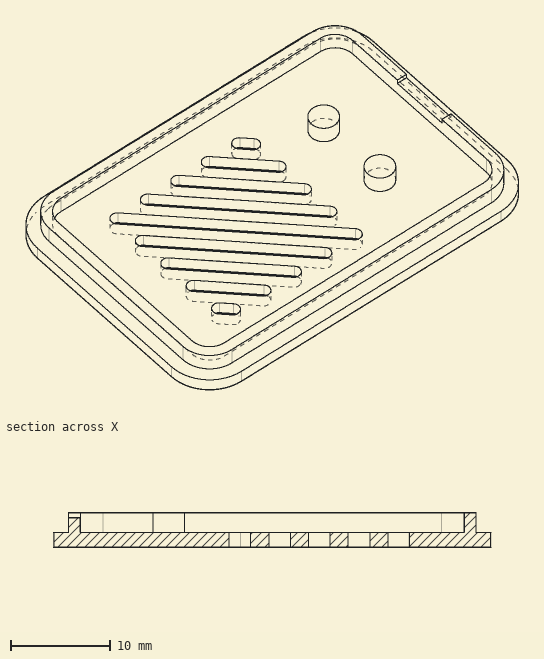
import cadquery as cq
import math

plate_width = 31.1
plate_length = 44.1
plate_thickness = 1.5
plate_corner_radius = 5.0

lip_inset = 1.5
lip_height = 2.0
lip_wall = 1.2
lip_width = plate_width - 2 * lip_inset
lip_length = plate_length - 2 * lip_inset
lip_corner_radius = plate_corner_radius - lip_inset
cavity_width = lip_width - 2 * lip_wall
cavity_length = lip_length - 2 * lip_wall
cavity_corner_radius = lip_corner_radius - lip_wall
lip_top = plate_thickness + lip_height

notch_width = 7.0
notch_depth = 0.5

pin_diameter = 3.2
pin_height = 2.0
pin_spacing = 8.85
pin_y = 10.45

slot_width = 1.5
slot_pitch = 4.0
slots_per_side = 4
vent_side = 17.0
vent_center_y = -4.75
slot_angle = 45


def rounded_block(width, length, height, corner_radius, bottom):
    """Block centred on the Z axis with rounded vertical edges."""
    block = cq.Workplane("XY").workplane(offset=bottom).rect(width, length).extrude(height)
    return block.edges("|Z").fillet(corner_radius)


def make_lip():
    """Closed wall standing on the plate."""
    outside = rounded_block(lip_width, lip_length, lip_height, lip_corner_radius, plate_thickness)
    cavity = rounded_block(cavity_width, cavity_length, lip_height, cavity_corner_radius, plate_thickness)
    return outside.cut(cavity)


def make_notch():
    """Cutter for the notch across the +Y lip wall."""
    wall_center_y = (lip_length - lip_wall) / 2
    notch = cq.Workplane("XY").box(notch_width, lip_wall, notch_depth)
    return notch.translate((0, wall_center_y, lip_top - notch_depth / 2))


def make_pins():
    """Two pins placed symmetrically about the YZ plane."""
    centers = [(-pin_spacing / 2, pin_y), (pin_spacing / 2, pin_y)]
    pins = cq.Workplane("XY").workplane(offset=plate_thickness).pushPoints(centers)
    return pins.circle(pin_diameter / 2).extrude(pin_height)


def make_vent_slots():
    """Cutters for the slots, stepping across the square from corner to corner."""
    slots = cq.Workplane("XY")
    for step in range(-slots_per_side, slots_per_side + 1):
        shift = step * slot_pitch
        run = vent_side - abs(shift)
        overall_length = run / math.cos(math.radians(slot_angle)) + slot_width
        slot = (
            cq.Workplane("XY")
            .center(shift / 2, vent_center_y - shift / 2)
            .slot2D(overall_length, slot_width, slot_angle)
            .extrude(plate_thickness)
        )
        slots.add(slot)
    return slots.combine()


plate = rounded_block(plate_width, plate_length, plate_thickness, plate_corner_radius, 0)
result = plate.union(make_lip()).union(make_pins()).cut(make_notch()).cut(make_vent_slots())